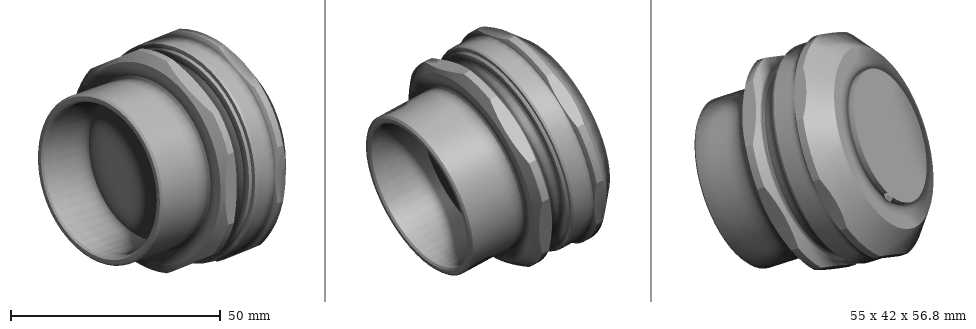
import cadquery as cq
import math

TOTAL_LENGTH = 41.95
TUBE_CHAMFER_LENGTH = 0.5
TUBE_END = 15.55
LOCKNUT_FRONT = 16.0
LOCKNUT_BACK = 21.05
NECK_START = 21.35
NECK_END = 24.5
SEAL_FRONT = 24.95
COLLAR_FRONT = 25.6
COLLAR_CHAMFER_LENGTH = 0.55
CAP_FRONT = 31.85
CAP_RIM_FRONT = 32.6
CAP_RIM_BACK = 34.5
CAP_BACK = 40.2
BORE_DEPTH = 15.55

TUBE_DIAMETER = 42.4
TUBE_ROOT_DIAMETER = 43.3
BORE_DIAMETER = 38.4
NECK_DIAMETER = 47.0
NECK_FLARE_DIAMETER = 47.7
SEAL_DIAMETER = 52.0
COLLAR_DIAMETER = 54.5
LOCKNUT_DIAMETER = 55.05
LOCKNUT_FACE_DIAMETER = 50.1
CAP_DIAMETER = 56.8
CAP_FRONT_DIAMETER = 54.5
CAP_BACK_DIAMETER = 45.3
PLUG_DIAMETER = 33.3

TUBE_CHAMFER = 0.5
MOUTH_CHAMFER = 0.45
SEAL_CHAMFER = 0.35
SEAL_CHAMFER_LENGTH = 0.5
COLLAR_CHAMFER = 0.2

LOCKNUT_FLATS = 52.0
CAP_FLATS = 55.0

LOCKNUT_CHAMFER_LENGTH = 1.55

TAB_WIDTH = 2.25
TAB_THICKNESS = 0.95
TAB_SHOULDER = 0.35
TAB_REACH = 1.25
TAB_TIP_SETBACK = 0.6
TAB_OVERLAP = 1.15


def turned(points):
    """Solid of revolution about Y from (diameter, y) points running front to back."""
    outline = [(0, points[0][1])]
    outline += [(diameter / 2, y) for diameter, y in points]
    outline.append((0, points[-1][1]))
    return cq.Workplane("XY").polyline(outline).close().revolve(360, (0, 0, 0), (0, 1, 0))


def hexagon(across_flats, front, back):
    """Hexagonal prism along Y with two flats facing -X and +X."""
    across_corners = across_flats / math.cos(math.pi / 6)
    prism = cq.Workplane("XZ", origin=(0, front, 0)).polygon(6, across_corners).extrude(front - back)
    return prism.rotate((0, 0, 0), (0, 1, 0), 30)


def make_body():
    """Tube, neck, seal ring and collar in one turned piece."""
    return turned([
        (TUBE_DIAMETER - 2 * TUBE_CHAMFER, 0),
        (TUBE_DIAMETER, TUBE_CHAMFER_LENGTH),
        (TUBE_DIAMETER, TUBE_END),
        (TUBE_ROOT_DIAMETER, LOCKNUT_FRONT),
        (TUBE_ROOT_DIAMETER, LOCKNUT_BACK),
        (NECK_FLARE_DIAMETER, LOCKNUT_BACK),
        (NECK_DIAMETER, NECK_START),
        (NECK_DIAMETER, NECK_END),
        (NECK_FLARE_DIAMETER, SEAL_FRONT),
        (SEAL_DIAMETER - 2 * SEAL_CHAMFER, SEAL_FRONT),
        (SEAL_DIAMETER, SEAL_FRONT + SEAL_CHAMFER_LENGTH),
        (SEAL_DIAMETER, COLLAR_FRONT),
        (COLLAR_DIAMETER - 2 * COLLAR_CHAMFER, COLLAR_FRONT),
        (COLLAR_DIAMETER, COLLAR_FRONT + COLLAR_CHAMFER_LENGTH),
        (COLLAR_DIAMETER, CAP_FRONT),
    ])


def make_locknut():
    blank = turned([
        (LOCKNUT_FACE_DIAMETER, LOCKNUT_FRONT),
        (LOCKNUT_DIAMETER, LOCKNUT_FRONT + LOCKNUT_CHAMFER_LENGTH),
        (LOCKNUT_DIAMETER, LOCKNUT_BACK - LOCKNUT_CHAMFER_LENGTH),
        (LOCKNUT_FACE_DIAMETER, LOCKNUT_BACK),
    ])
    return blank.intersect(hexagon(LOCKNUT_FLATS, LOCKNUT_FRONT, LOCKNUT_BACK))


def make_cap():
    blank = turned([
        (CAP_FRONT_DIAMETER, CAP_FRONT),
        (CAP_DIAMETER, CAP_RIM_FRONT),
        (CAP_DIAMETER, CAP_RIM_BACK),
        (CAP_BACK_DIAMETER, CAP_BACK),
    ])
    return blank.intersect(hexagon(CAP_FLATS, CAP_FRONT, CAP_BACK))


def make_plug():
    return turned([(PLUG_DIAMETER, CAP_BACK), (PLUG_DIAMETER, TOTAL_LENGTH)])


def make_tab():
    """Small tab narrowing to a point below the lower edge of the plug."""
    plug_edge = -PLUG_DIAMETER / 2
    root = plug_edge + TAB_OVERLAP
    shoulder = plug_edge - TAB_SHOULDER
    tip = plug_edge - TAB_REACH
    outline = [
        (TOTAL_LENGTH, root),
        (TOTAL_LENGTH, shoulder),
        (TOTAL_LENGTH - TAB_TIP_SETBACK, tip),
        (TOTAL_LENGTH - TAB_THICKNESS, shoulder),
        (TOTAL_LENGTH - TAB_THICKNESS, root),
    ]
    return cq.Workplane("YZ").polyline(outline).close().extrude(TAB_WIDTH / 2, both=True)


def make_bore():
    """Blind bore with a chamfered mouth."""
    return turned([
        (BORE_DIAMETER + 2 * MOUTH_CHAMFER, 0),
        (BORE_DIAMETER, MOUTH_CHAMFER),
        (BORE_DIAMETER, BORE_DEPTH),
    ])


result = make_body()
for piece in (make_locknut(), make_cap(), make_plug(), make_tab()):
    result = result.union(piece)
result = result.cut(make_bore())